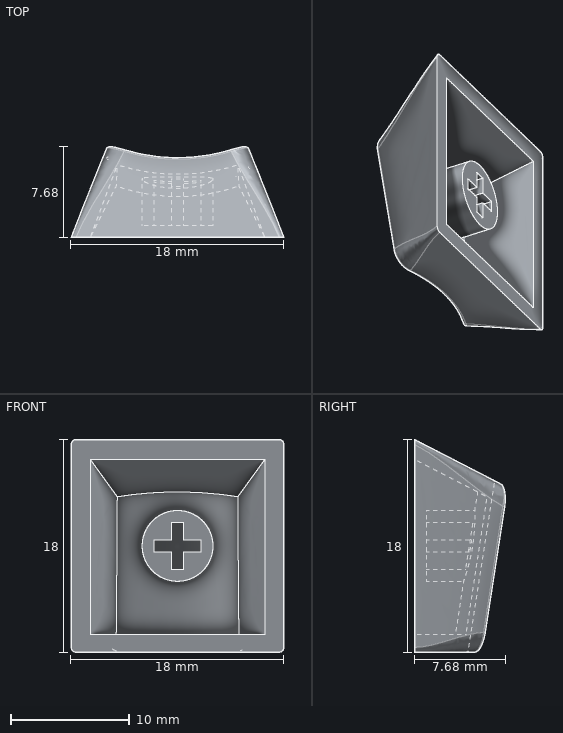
import cadquery as cq
import math

BASE_SIZE = 18.0
BASE_CORNER_RADIUS = 0.41
TOP_HALF_WIDTH = 5.89
TOP_CORNER_RADIUS = 1.71
HIGH_END_HEIGHT = 8.1
LOW_END_HEIGHT = 5.94
WALL_LEAN = 0.515
SKIRT_STEPS = 6

DISH_RADIUS = 14.4
DISH_LOW_HEIGHT = 4.5
RIM_FILLET = 0.27

CAVITY_HALF_WIDTH = 7.38
CAVITY_TOP_HALF_WIDTH = 4.97
CAVITY_HIGH_Z = 7.3
CAVITY_LOW_Z = -7.5
CAVITY_HIGH_HEIGHT = 6.48
CAVITY_LOW_HEIGHT = 4.77
CEILING_THICKNESS = 1.28

STEM_DIAMETER = 6.0
STEM_RECESS = 0.99
CROSS_LENGTH = 4.0
CROSS_WIDTH = 0.99

HALF_BASE = BASE_SIZE / 2
TOP_RUN = BASE_SIZE - WALL_LEAN * HIGH_END_HEIGHT
TILT = math.atan2(HIGH_END_HEIGHT - LOW_END_HEIGHT, TOP_RUN)
TOOL_MARGIN = 7.2


def section(half_width, low, high, corner_radius=0.0):
    """Rectangular wire spanning two (y, z) points, in a plane parallel to X."""
    rise = high[0] - low[0]
    run = high[1] - low[1]
    center = (0, (low[0] + high[0]) / 2, (low[1] + high[1]) / 2)
    plane = cq.Plane(origin=center, xDir=(1, 0, 0), normal=(0, -run, rise))
    sketch = cq.Sketch().rect(2 * half_width, math.hypot(rise, run))
    if corner_radius:
        sketch = sketch.vertices().fillet(corner_radius)
    face = sketch.reset().faces().val().moved(plane.location)
    return face.outerWire()


def skirt():
    """Tapered block whose corner radius grows smoothly from rim to top."""
    wires = []
    for step in range(SKIRT_STEPS + 1):
        t = step / SKIRT_STEPS
        ease = t * t * (3 - 2 * t)
        high_y = t * HIGH_END_HEIGHT
        wires.append(section(
            HALF_BASE + t * (TOP_HALF_WIDTH - HALF_BASE),
            (t * LOW_END_HEIGHT, -HALF_BASE),
            (high_y, HALF_BASE - WALL_LEAN * high_y),
            BASE_CORNER_RADIUS + ease * (TOP_CORNER_RADIUS - BASE_CORNER_RADIUS),
        ))
    return cq.Workplane(cq.Solid.makeLoft(wires))


def dish(depth_offset=0.0):
    """Cylinder of the finger dish, grown by depth_offset into the cap."""
    axis_height = DISH_LOW_HEIGHT + DISH_RADIUS / math.cos(TILT)
    direction = cq.Vector(0, math.sin(TILT), math.cos(TILT))
    start = cq.Vector(0, axis_height, -HALF_BASE) - direction * TOOL_MARGIN
    length = BASE_SIZE + 2 * TOOL_MARGIN
    return cq.Workplane(cq.Solid.makeCylinder(DISH_RADIUS + depth_offset, length, start, direction))


def cavity():
    """Tapered hollow with a curved ceiling parallel to the dish."""
    rim = section(CAVITY_HALF_WIDTH, (0, CAVITY_LOW_Z), (0, CAVITY_HIGH_Z))
    top = section(
        CAVITY_TOP_HALF_WIDTH,
        (CAVITY_LOW_HEIGHT, CAVITY_LOW_Z),
        (CAVITY_HIGH_HEIGHT, CAVITY_HIGH_Z - WALL_LEAN * CAVITY_HIGH_HEIGHT),
    )
    block = cq.Workplane(cq.Solid.makeLoft([rim, top], True))
    return block.cut(dish(CEILING_THICKNESS))


def stem():
    """Round post with a cross socket, running from its face past the ceiling."""
    face = cq.Workplane("XZ", origin=(0, STEM_RECESS, 0))
    post = face.circle(STEM_DIAMETER / 2).extrude(-HIGH_END_HEIGHT)
    for size in ((CROSS_LENGTH, CROSS_WIDTH), (CROSS_WIDTH, CROSS_LENGTH)):
        post = post.cut(face.rect(*size).extrude(-HIGH_END_HEIGHT))
    return post


cap = skirt().cut(dish())
cap = cap.faces(">Y").edges().fillet(RIM_FILLET)
result = cap.cut(cavity().cut(stem()))